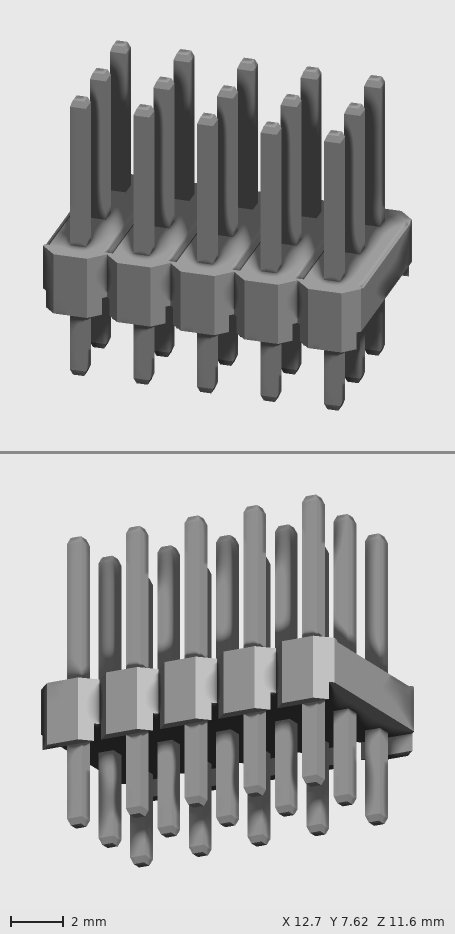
import cadquery as cq

pitch = 2.54
columns = 5
rows = 3

body_length = columns * pitch
body_width = rows * pitch
body_height = 2.5
foot_height = 0.7
foot_depth = 0.45
corner_bevel = 0.6

groove_width = 0.4
groove_end_gap = 0.15
groove_length = body_width - 2 * (corner_bevel + groove_end_gap)
groove_depth = 0.1

pin_size = 0.64
pin_below = 3.0
pin_above = 6.1
tip_length = 0.25
tip_inset = 0.1


def centred_positions(count):
    """Coordinates of count items spaced one pitch apart about zero."""
    return [(i - (count - 1) / 2) * pitch for i in range(count)]


def make_cell(x):
    """One bevelled segment of the body, holding one column of pins."""
    half_x = pitch / 2
    half_y = body_width / 2
    flat_x = half_x - corner_bevel
    side_y = half_y - corner_bevel
    outline = [
        (-flat_x, -half_y),
        (flat_x, -half_y),
        (half_x, -side_y),
        (half_x, side_y),
        (flat_x, half_y),
        (-flat_x, half_y),
        (-half_x, side_y),
        (-half_x, -side_y),
    ]
    return cq.Workplane("XY").polyline(outline).close().extrude(body_height).translate((x, 0, 0))


def make_underside_channel():
    """Full-length channel that leaves the feet along both long sides."""
    channel_width = body_width - 2 * foot_depth
    return cq.Workplane("XY").box(
        body_length, channel_width, foot_height, centered=(True, True, False)
    )


def make_groove(x):
    """Tapered groove cutter on a segment boundary."""
    return (
        cq.Workplane("XY", origin=(x, 0, body_height))
        .rect(groove_width, groove_length)
        .workplane(offset=-groove_depth)
        .rect(groove_width - 2 * groove_depth, groove_length - 2 * groove_depth)
        .loft(ruled=True)
    )


def make_tip(z, direction):
    """Tapered pin end starting at height z; direction is +1 up or -1 down."""
    end_size = pin_size - 2 * tip_inset
    return (
        cq.Workplane("XY", origin=(0, 0, z))
        .rect(pin_size, pin_size)
        .workplane(offset=direction * tip_length)
        .rect(end_size, end_size)
        .loft(ruled=True)
    )


def make_pin():
    """Square pin on the Z axis with both ends tapered."""
    shank_bottom = -pin_below + tip_length
    shank_top = body_height + pin_above - tip_length
    shank = (
        cq.Workplane("XY", origin=(0, 0, shank_bottom))
        .rect(pin_size, pin_size)
        .extrude(shank_top - shank_bottom)
    )
    return shank.union(make_tip(shank_top, 1)).union(make_tip(shank_bottom, -1))


column_positions = centred_positions(columns)
row_positions = centred_positions(rows)
boundary_positions = centred_positions(columns + 1)

body = make_cell(column_positions[0])
for column_x in column_positions[1:]:
    body = body.union(make_cell(column_x))
body = body.clean().cut(make_underside_channel())
for boundary_x in boundary_positions:
    body = body.cut(make_groove(boundary_x))

pin = make_pin()
result = body
for column_x in column_positions:
    for row_y in row_positions:
        result = result.union(pin.translate((column_x, row_y, 0)))